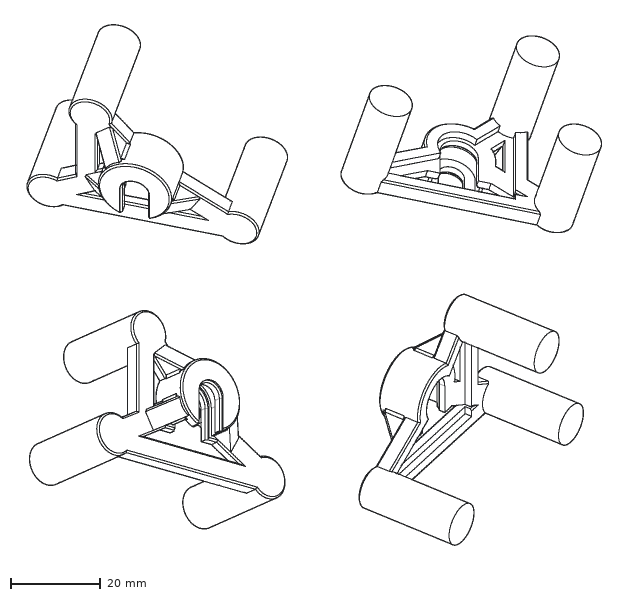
import cadquery as cq
import math

total_width = 53.85
total_depth = 31.4
total_height = 36.7
edge_chamfer = 0.45

post_radius = 10.0 / 2
post_span = total_width - 2 * post_radius
post_rise = total_height - 2 * post_radius
upper_post_x = 9.75
posts = [(0, 0), (post_span, 0), (upper_post_x, post_rise)]

plate_front = 6.85
plate_thickness = 4.1
plate_back = plate_front + plate_thickness
bar_width = 5.0
bottom_bar_z = -1.15
side_bar_x = 8.85
arm_width = 5.8
pocket_floor = 9.15
rim_width = 3.0

hub_x = post_span / 2
hub_z = 12.5
hub_radius = 8.5
flat_drop = 7.75
web_drop = 7.55
slot_mouth_drop = flat_drop + 0.55
lip_thickness = 2.5
lip_slot_radius = 3.0
cavity_radius = 5.5
plate_slot_radius = 4.4

rib_width = arm_width - 2 * edge_chamfer
rib_foot_radius = 14.15
rib_root_radius = 7.75

arm_slope = hub_z / hub_x
side_bar_foot_z = side_bar_x * arm_slope


def xz_plane(depth, center=(0, 0)):
    """Workplane at the given Y with local axes along X and Z; negative extrusions run towards +Y."""
    return cq.Workplane("XZ", origin=(center[0], depth, center[1]))


def plate_piece(sketch):
    """Plate-thick piece with its front and back rims chamfered."""
    return sketch.extrude(-plate_thickness).faces("<Y or >Y").chamfer(edge_chamfer)


def bar(start, end, width):
    """Straight square-ended frame member between two points."""
    length = math.hypot(end[0] - start[0], end[1] - start[1])
    angle = math.degrees(math.atan2(end[1] - start[1], end[0] - start[0]))
    flat_bar = plate_piece(xz_plane(plate_front).center(length / 2, 0).rect(length, width))
    return flat_bar.rotate((0, 0, 0), (0, 1, 0), -angle).translate((start[0], 0, start[1]))


def make_frame():
    frame = bar((0, bottom_bar_z), (post_span, bottom_bar_z), bar_width)
    frame = frame.union(bar((side_bar_x, side_bar_foot_z), (side_bar_x, post_rise), bar_width))
    for post in posts:
        frame = frame.union(bar(post, (hub_x, hub_z), arm_width))
    web_half_width = web_drop / arm_slope
    web_outline = [(0, 0), (-web_half_width, -web_drop), (web_half_width, -web_drop)]
    web = plate_piece(xz_plane(plate_front, (hub_x, hub_z)).polyline(web_outline).close())
    return frame.union(web)


def make_post(center):
    length = total_depth - plate_front
    post = xz_plane(plate_front, center).circle(post_radius).extrude(-length)
    return post.faces("<Y").chamfer(edge_chamfer)


def make_hub():
    half_flat = math.sqrt(hub_radius**2 - flat_drop**2)
    outline = xz_plane(0, (hub_x, hub_z)).moveTo(-half_flat, -flat_drop)
    outline = outline.threePointArc((0, hub_radius), (half_flat, -flat_drop)).close()
    return outline.extrude(-plate_back).faces("<Y or >Y").chamfer(edge_chamfer)


def slot(radius, depth, length):
    """Round-topped slot cutter that runs out through the flat of the hub."""
    outline = xz_plane(depth, (hub_x, hub_z)).moveTo(-radius, -slot_mouth_drop).lineTo(-radius, 0)
    outline = outline.threePointArc((0, radius), (radius, 0)).lineTo(radius, -slot_mouth_drop).close()
    return outline.extrude(-length)


def slot_entry(radius, depth):
    """Cutter for the chamfer around the front edge of a slot."""
    flared = slot(radius + edge_chamfer, depth, 2 * edge_chamfer)
    return flared.faces(">Y").chamfer(edge_chamfer)


def make_rib(post, bevelled_sides):
    """Ramp along one arm with fillers at the hub, built along +X and turned to face its post."""
    half_width = rib_width / 2
    height = rib_foot_radius - rib_root_radius
    overlap = 2 * edge_chamfer
    ramp = [
        (rib_root_radius, plate_front - height),
        (rib_foot_radius + overlap, plate_front + overlap),
        (rib_root_radius, plate_front + overlap),
    ]
    rib = cq.Workplane("XY", origin=(0, 0, -half_width)).polyline(ramp).close().extrude(rib_width)
    ramp_face = cq.selectors.DirectionMinMaxSelector(cq.Vector(1, -1, 0))
    rib = rib.faces(ramp_face).edges(bevelled_sides).chamfer(edge_chamfer)

    meeting_radius = math.sqrt(hub_radius**2 - half_width**2)
    filler_end = meeting_radius + edge_chamfer
    filler_depth = rib_foot_radius - filler_end - edge_chamfer * math.sqrt(2)
    flare = filler_end - rib_root_radius
    filler = [
        (filler_end, half_width),
        (rib_root_radius, half_width + flare),
        (rib_root_radius, -half_width - flare),
        (filler_end, -half_width),
    ]
    rib = rib.union(xz_plane(plate_front - filler_depth).polyline(filler).close().extrude(-filler_depth))
    angle = math.degrees(math.atan2(post[1] - hub_z, post[0] - hub_x))
    return rib.rotate((0, 0, 0), (0, 1, 0), -angle).translate((hub_x, 0, hub_z))


def line_crossing_z(start, end, offset, x):
    """Z at the given X on the line between two points, moved sideways by an offset (left is positive)."""
    dx = end[0] - start[0]
    dz = end[1] - start[1]
    return start[1] + (dz * (x - start[0]) + offset * math.hypot(dx, dz)) / dx


def make_pocket():
    """Recess in the back of the frame that leaves a rim along its outer sides."""
    hub = (hub_x, hub_z)
    right_post = posts[1]
    upper_post = posts[2]
    left = side_bar_x - bar_width / 2 + rim_width
    bottom = bottom_bar_z - bar_width / 2 + rim_width
    inset = arm_width / 2 - rim_width
    upper_left_z = line_crossing_z(upper_post, hub, inset, left)
    right_arm_drop = line_crossing_z(hub, right_post, inset, hub_x) - bottom
    outline = [
        (left, bottom),
        (left, upper_left_z),
        hub,
        (hub_x + right_arm_drop / arm_slope, bottom),
    ]
    depth = plate_back - pocket_floor
    pocket = xz_plane(pocket_floor).polyline(outline).close().extrude(-depth)
    return pocket.union(xz_plane(pocket_floor, hub).circle(hub_radius - rim_width).extrude(-depth))


result = make_frame().union(make_hub()).cut(make_pocket())
for post in posts:
    result = result.union(make_post(post))

for post, bevelled_sides in zip(posts, ("<Z", ">Z", "<Z or >Z")):
    result = result.union(make_rib(post, bevelled_sides))

result = result.cut(slot(lip_slot_radius, 0, lip_thickness))
result = result.cut(slot_entry(lip_slot_radius, 0))
result = result.cut(slot(cavity_radius, lip_thickness, plate_front - lip_thickness))
result = result.cut(slot(plate_slot_radius, plate_front, plate_thickness))
result = result.cut(slot_entry(plate_slot_radius, plate_front))